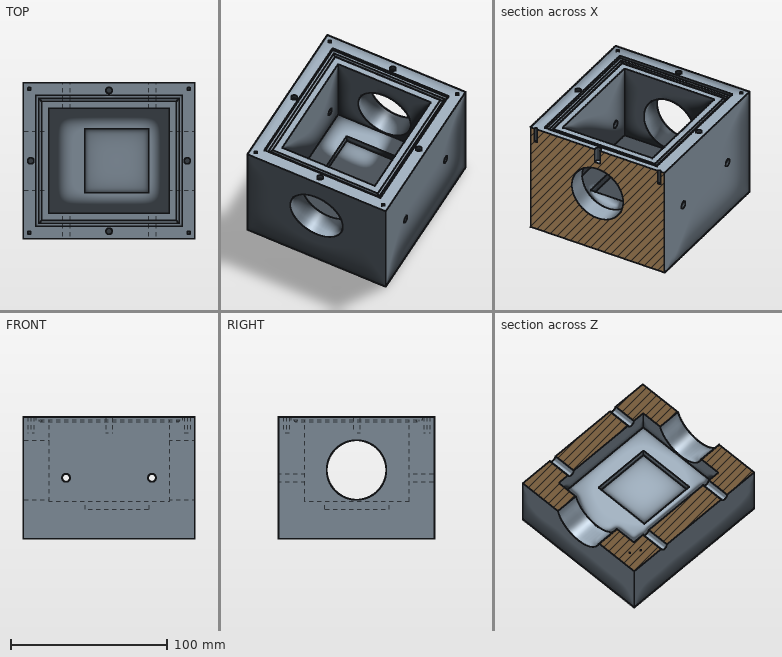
import cadquery as cq

length = 110.0
width = 100.0
height = 78.0

seat_inset = 8.0
seat_depth = 2.0
groove_inset = 11.0
groove_radius = 1.0
cavity_inset = 16.5
cavity_floor = 24.0

pocket_side = 41.0
pocket_offset_x = 5.0
pocket_depth = 5.0

corner_hole_diameter = 2.0
corner_hole_inset = 4.0
corner_hole_depth = 10.0
side_hole_diameter = 4.0
side_hole_inset = 5.0
side_hole_depth = 10.0

port_diameter = 38.0
port_height = 44.0
wall_hole_diameter = 5.0
wall_hole_spacing = 55.0

seat_level = height - seat_depth


def inset_pocket(inset, floor):
    """Rectangular cutter, from floor to the top face, inset from the outer sides."""
    return (
        cq.Workplane("XY", origin=(0, 0, floor))
        .rect(length - 2 * inset, width - 2 * inset)
        .extrude(height - floor)
    )


def seal_groove():
    """Round cutter that follows a sharp-cornered rectangle on the seat."""
    path_length = length - 2 * groove_inset
    path_width = width - 2 * groove_inset
    half_length = path_length / 2
    half_width = path_width / 2
    path = (
        cq.Workplane("XY", origin=(0, 0, seat_level))
        .moveTo(0, -half_width)
        .lineTo(half_length, -half_width)
        .lineTo(half_length, half_width)
        .lineTo(-half_length, half_width)
        .lineTo(-half_length, -half_width)
        .close()
    )
    return (
        cq.Workplane("YZ", origin=(0, -half_width, seat_level))
        .circle(groove_radius)
        .sweep(path, transition="right")
    )


def rim_holes(points, diameter, depth):
    """Vertical hole cutters sunk from the top face."""
    return (
        cq.Workplane("XY", origin=(0, 0, height))
        .pushPoints(points)
        .circle(diameter / 2)
        .extrude(-depth)
    )


corner_x = length / 2 - corner_hole_inset
corner_y = width / 2 - corner_hole_inset
corner_points = [(sx * corner_x, sy * corner_y) for sx in (-1, 1) for sy in (-1, 1)]

side_x = length / 2 - side_hole_inset
side_y = width / 2 - side_hole_inset
side_points = [(-side_x, 0), (side_x, 0), (0, -side_y), (0, side_y)]

block = cq.Workplane("XY").box(length, width, height, centered=(True, True, False))

floor_pocket = (
    cq.Workplane("XY", origin=(pocket_offset_x, 0, cavity_floor))
    .rect(pocket_side, pocket_side)
    .extrude(-pocket_depth)
)

port = (
    cq.Workplane("YZ", origin=(0, 0, port_height))
    .circle(port_diameter / 2)
    .extrude(length / 2, both=True)
)

wall_holes = (
    cq.Workplane("XZ", origin=(0, 0, height / 2))
    .pushPoints([(-wall_hole_spacing / 2, 0), (wall_hole_spacing / 2, 0)])
    .circle(wall_hole_diameter / 2)
    .extrude(width / 2, both=True)
)

result = (
    block.cut(inset_pocket(seat_inset, seat_level))
    .cut(seal_groove())
    .cut(inset_pocket(cavity_inset, cavity_floor))
    .cut(floor_pocket)
    .cut(rim_holes(corner_points, corner_hole_diameter, corner_hole_depth))
    .cut(rim_holes(side_points, side_hole_diameter, side_hole_depth))
    .cut(port)
    .cut(wall_holes)
)